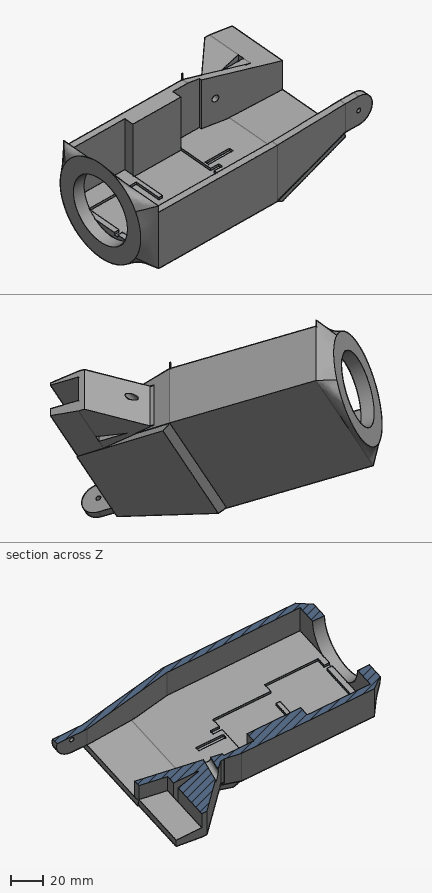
import cadquery as cq
import math

ring_radius = 37.37
bore_diameter = 50.0
collar_length = 9.0
collar_half_height = 25.0

half_width = 44.0
wall = 5.0
taper_start = 108.5
taper_end = 176.5
tip_half_width = 31.5
wall_bottom = -collar_half_height
wall_top = 20.0
tip_wall_top = 8.8
floor_top = -20.5

ramp_start = 138.5
ramp_tip_top = -14.1
ramp_tip_bottom = -18.1
ramp_overhang = 0.5
ramp_inset = 0.4
ramp_heel_y = 113.5
ramp_heel_z = -28.5

lug_radius = 11.4
lug_hole_diameter = 3.2
lug_center_y = 199.3 - lug_radius
lug_center_z = tip_wall_top - lug_radius

bracket_left = -73.1
bracket_bottom = -21.0
fork_root = 157.5
fork_gap_top = 7.0
fork_gap_bottom = -12.4
bracket_face_start = 153.5
bracket_face_end = (-42.2, 122.5)
bracket_lip_end = 120.0
window_left = -46.5
window_right = -41.7
bracket_hole_diameter = 5.0
bracket_hole_center = (-50.6, 131.1, -0.8)

recess_depth = 1.8
pad_right = -31.7
pad_start = 55.8
pad_end = 96.0
relief_end = 118.2
rear_recess_right = 6.2
link_left = -4.2
front_recess_left = -25.1
front_recess_right = 13.0
front_recess_start = 13.0
front_recess_end = 52.8
wire_width = 3.2
notch_end = 102.8
slot_left = -11.2
slot_start = 97.9

fin_size = 0.5
fin_top = 25.0

wall_slope = (half_width - tip_half_width) / (taper_end - taper_start)
wall_top_slope = (wall_top - tip_wall_top) / (taper_end - taper_start)
bracket_top = tip_wall_top + wall_top_slope * (taper_end - fork_root)
inner_half_width = half_width - wall
tip_inner_half_width = tip_half_width - wall
cut_low = -39.9
cut_high = 39.9


def box(x0, x1, y0, y1, z0, z1):
    return cq.Workplane("XY").box(x1 - x0, y1 - y0, z1 - z0, centered=False).translate((x0, y0, z0))


def column(points, z0=cut_low, z1=cut_high):
    """Vertical prism over a plan outline."""
    return cq.Workplane("XY").workplane(offset=z0).polyline(points).close().extrude(z1 - z0)


def side_prism(points, x0, x1):
    """Prism along X over a (y, z) outline."""
    return cq.Workplane("YZ").workplane(offset=x0).polyline(points).close().extrude(x1 - x0)


def outer_half_width(y):
    return half_width - wall_slope * (y - taper_start)


def make_collar():
    circle = cq.Wire.makeCircle(ring_radius, cq.Vector(0, 0, 0), cq.Vector(0, 1, 0))
    corners = [(-1, -1), (1, -1), (1, 1), (-1, 1)]
    rectangle = cq.Wire.makePolygon(
        [cq.Vector(sx * half_width, collar_length, sz * collar_half_height) for sx, sz in corners],
        close=True,
    )
    collar = cq.Workplane(cq.Solid.makeLoft([circle, rectangle], True))
    bore = cq.Workplane("XZ").circle(bore_diameter / 2).extrude(-collar_length)
    return collar.cut(bore)


def make_walls():
    profile = side_prism(
        [
            (collar_length, wall_bottom),
            (taper_start, wall_bottom),
            (taper_end, ramp_tip_top),
            (taper_end, tip_wall_top),
            (taper_start, wall_top),
            (collar_length, wall_top),
        ],
        -half_width,
        half_width,
    )
    right = column(
        [
            (half_width, collar_length),
            (half_width, taper_start),
            (tip_half_width, taper_end),
            (tip_inner_half_width, taper_end),
            (inner_half_width, taper_start),
            (inner_half_width, collar_length),
        ]
    )
    left = right.mirror("YZ")
    relief = box(-inner_half_width, 0, pad_end, relief_end, floor_top, cut_high)
    return right.union(left).intersect(profile).cut(relief)


def make_floor():
    ramp_end = taper_end + ramp_overhang
    end_half_width = outer_half_width(ramp_end) - ramp_inset
    start_half_width = half_width - ramp_inset
    profile = side_prism(
        [
            (collar_length, wall_bottom),
            (taper_start, wall_bottom),
            (ramp_heel_y, ramp_heel_z),
            (ramp_end, ramp_tip_bottom),
            (taper_end, ramp_tip_top),
            (ramp_start, floor_top),
            (collar_length, floor_top),
        ],
        -half_width,
        half_width,
    )
    plan = column(
        [
            (-half_width, collar_length),
            (half_width, collar_length),
            (half_width, taper_start),
            (start_half_width, taper_start),
            (end_half_width, ramp_end),
            (-end_half_width, ramp_end),
            (-start_half_width, taper_start),
            (-half_width, taper_start),
        ]
    )
    return profile.intersect(plan)


def make_recesses():
    def recess(x0, x1, y0, y1):
        return box(x0, x1, y0, y1, floor_top - recess_depth, floor_top)

    wire_left = rear_recess_right - wire_width
    cuts = recess(pad_right, rear_recess_right, pad_start, pad_end)
    cuts = cuts.union(recess(link_left, rear_recess_right, front_recess_end, pad_start))
    cuts = cuts.union(
        recess(front_recess_left, front_recess_right, front_recess_start, front_recess_end)
    )
    cuts = cuts.union(recess(wire_left, rear_recess_right, collar_length, front_recess_start))
    cuts = cuts.union(recess(link_left, link_left + wire_width, pad_end, notch_end))
    return cuts.union(recess(slot_left, slot_left + wire_width, slot_start, relief_end))


def make_lug():
    blank = box(
        tip_inner_half_width, tip_half_width, taper_end, lug_center_y,
        lug_center_z - lug_radius, tip_wall_top,
    )
    center = (
        cq.Workplane("YZ").workplane(offset=tip_inner_half_width).center(lug_center_y, lug_center_z)
    )
    lug = blank.union(center.circle(lug_radius).extrude(wall))
    return lug.cut(center.circle(lug_hole_diameter / 2).extrude(wall))


def make_bracket():
    plan = column(
        [
            (bracket_left, taper_end),
            (bracket_left, bracket_face_start),
            bracket_face_end,
            (bracket_face_end[0], bracket_lip_end),
            (-outer_half_width(bracket_lip_end) + wall / 2, bracket_lip_end),
            (-tip_half_width + wall / 2, taper_end),
        ]
    )
    profile = side_prism(
        [
            (bracket_lip_end, bracket_bottom),
            (fork_root, bracket_bottom),
            (taper_end, ramp_tip_bottom),
            (taper_end, tip_wall_top),
            (fork_root, bracket_top),
            (bracket_lip_end, bracket_top),
        ],
        bracket_left,
        0,
    )
    fork_gap = column(
        [
            (bracket_left, fork_root),
            (-outer_half_width(fork_root), fork_root),
            (-tip_half_width, taper_end),
            (bracket_left, taper_end),
        ],
        fork_gap_bottom,
        fork_gap_top,
    )
    window = column(
        [
            (window_left, fork_root),
            (window_right, fork_root),
            (window_right, ramp_start),
        ]
    )
    return plan.intersect(profile).cut(fork_gap).cut(window)


def make_bracket_hole():
    """Drill square to the left taper wall, running from outside the bracket into the tray."""
    angle = math.atan(wall_slope)
    direction = cq.Vector(math.cos(angle), -math.sin(angle), 0)
    reach = 16.0
    start = cq.Vector(*bracket_hole_center) - direction * reach
    return cq.Workplane(
        cq.Solid.makeCylinder(bracket_hole_diameter / 2, 2 * reach, start, direction)
    )


pad = box(-inner_half_width, pad_right, pad_start, pad_end, floor_top, wall_top)
fin = box(
    -half_width, -half_width + fin_size, taper_start - fin_size, taper_start, wall_bottom, fin_top
)

result = (
    make_floor()
    .union(make_walls())
    .union(make_collar())
    .union(make_lug())
    .union(make_bracket())
    .union(pad)
    .union(fin)
    .cut(make_recesses())
    .cut(make_bracket_hole())
)